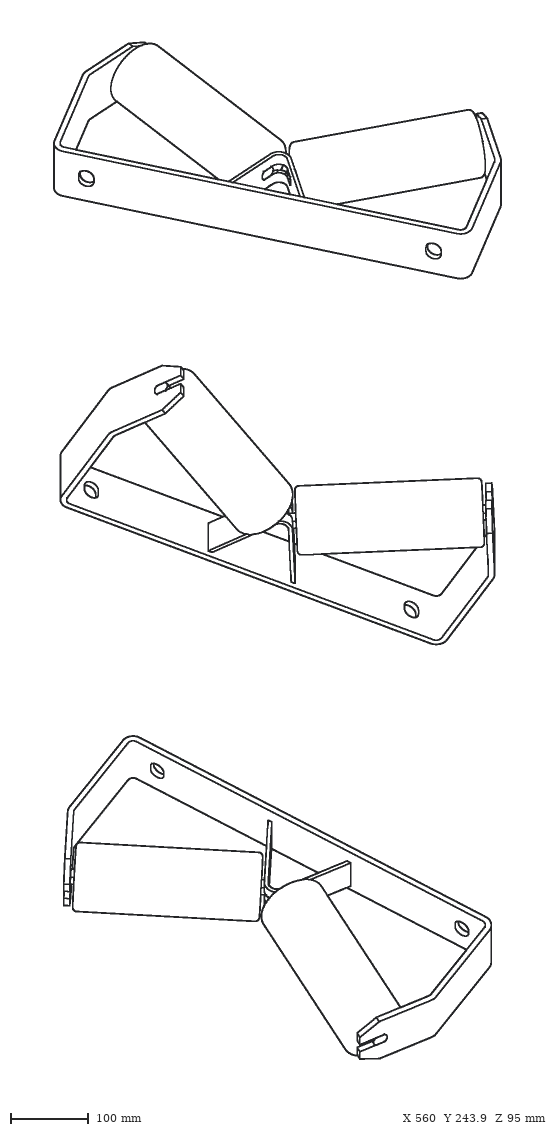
import cadquery as cq
import math


FRAME_WIDTH = 560.0
FRAME_HEIGHT = 80.0
FRAME_THICKNESS = 8.0
FRAME_BEND_RADIUS = 2 * FRAME_THICKNESS
ARM_BEND_Y = 146.0
ARM_LENGTH = 107.5
ARM_ANGLE = 30.0
ARM_CORNER_ALONG = 28.0
ARM_CORNER_UP = 17.0

MOUNT_SPACING = 465.5
MOUNT_SLOT_WIDTH = 20.0
MOUNT_SLOT_HEIGHT = 27.0

SUPPORT_THICKNESS = 5.0
SUPPORT_HEIGHT = 50.0
SUPPORT_BEND_RADIUS = 16.0
SUPPORT_FOOT_HALF_SPAN = 63.0

ROLLER_DIAMETER = 89.0
ROLLER_LENGTH = 240.0
ROLLER_EDGE_RADIUS = 5.5
ROLLER_TILT = 1.5
SHAFT_DIAMETER = 19.5
SHAFT_FLATS = 15.0
SHAFT_ALONG_ARM = 78.0

LEAN = math.radians(ARM_ANGLE)
TILT = math.radians(ROLLER_TILT)
SIN_LEAN = math.sin(LEAN)
COS_LEAN = math.cos(LEAN)
HALF_WIDTH = FRAME_WIDTH / 2
SUPPORT_APEX_Y = FRAME_THICKNESS + SUPPORT_FOOT_HALF_SPAN / math.tan(LEAN)

SHAFT_LENGTH = (HALF_WIDTH * COS_LEAN + (ARM_BEND_Y - SUPPORT_APEX_Y) * SIN_LEAN) + SUPPORT_THICKNESS
ROLLER_START = (SHAFT_LENGTH + FRAME_THICKNESS - SUPPORT_THICKNESS - ROLLER_LENGTH) / 2
SUPPORT_Z = -SHAFT_LENGTH * math.sin(TILT)


def bent_strip(path_points, thickness, outside_radius, height):
    """Flat strip bent along a mid-line in the XY plane, centred on z = 0."""
    corners = [cq.Vector(x, y, 0) for x, y in path_points]
    path = cq.Wire.makePolygon(corners).fillet(outside_radius - thickness / 2)
    start_plane = cq.Plane(origin=corners[0], xDir=(0, 0, 1), normal=corners[1] - corners[0])
    return cq.Workplane(start_plane).rect(height, thickness).sweep(path)


def shaft_plane(side):
    """Plane at the outer end of a shaft: normal along the shaft, local x down the arm from its tip."""
    arm = cq.Vector(-side * SIN_LEAN, COS_LEAN, 0)
    shaft = cq.Vector(
        -side * COS_LEAN * math.cos(TILT),
        -SIN_LEAN * math.cos(TILT),
        -math.sin(TILT),
    )
    bend_corner = cq.Vector(side * HALF_WIDTH, ARM_BEND_Y, 0)
    return cq.Plane(origin=bend_corner + arm * SHAFT_ALONG_ARM, xDir=arm * -1, normal=shaft)


def flatted_bar(side, start, length):
    """Round bar with two flats, on a shaft axis."""
    plane = cq.Workplane(shaft_plane(side)).workplane(offset=start)
    bar = plane.circle(SHAFT_DIAMETER / 2).extrude(length)
    return bar.intersect(plane.rect(SHAFT_DIAMETER, SHAFT_FLATS).extrude(length))


def shaft_slot(side, start, length, reach):
    """Cutter for a slot that holds a shaft and runs on for a reach towards the arm tip."""
    plane = cq.Workplane(shaft_plane(side)).workplane(offset=start)
    run_out = plane.center(-reach / 2, 0).rect(reach, SHAFT_FLATS).extrude(length)
    return flatted_bar(side, start, length).union(run_out)


def make_frame():
    half = FRAME_THICKNESS / 2
    wall_x = HALF_WIDTH - half
    bend_y = ARM_BEND_Y - half * math.tan(LEAN / 2)
    tip_x = HALF_WIDTH - ARM_LENGTH * SIN_LEAN - half * COS_LEAN
    tip_y = ARM_BEND_Y + ARM_LENGTH * COS_LEAN - half * SIN_LEAN
    path = [
        (-tip_x, tip_y),
        (-wall_x, bend_y),
        (-wall_x, half),
        (wall_x, half),
        (wall_x, bend_y),
        (tip_x, tip_y),
    ]
    frame = bent_strip(path, FRAME_THICKNESS, FRAME_BEND_RADIUS, FRAME_HEIGHT)

    mount_slots = (
        cq.Workplane("XZ")
        .rarray(MOUNT_SPACING, 5.5, 2, 1)
        .slot2D(MOUNT_SLOT_HEIGHT, MOUNT_SLOT_WIDTH, 90)
        .extrude(-FRAME_THICKNESS)
    )
    frame = frame.cut(mount_slots)

    for side in (-1, 1):
        frame = frame.cut(arm_corner_cuts(side))
        slot = shaft_slot(side, -FRAME_THICKNESS, 3 * FRAME_THICKNESS, ARM_LENGTH)
        frame = frame.cut(slot)
    return frame.solids()


def arm_corner_cuts(side):
    """Triangular cutters for the two corners of an arm tip."""
    arm = cq.Vector(-side * SIN_LEAN, COS_LEAN, 0)
    inward = cq.Vector(-side * COS_LEAN, -SIN_LEAN, 0)
    tip = cq.Vector(side * HALF_WIDTH, ARM_BEND_Y, 0) + arm * ARM_LENGTH
    plane = cq.Workplane(cq.Plane(origin=tip, xDir=arm, normal=inward))
    top = FRAME_HEIGHT / 2
    cuts = cq.Workplane()
    for edge in (-1, 1):
        triangle = [
            (0, edge * top),
            (0, edge * (top - ARM_CORNER_UP)),
            (-ARM_CORNER_ALONG, edge * top),
        ]
        cuts = cuts.add(plane.polyline(triangle).close().extrude(FRAME_THICKNESS))
    return cuts.combine()


def make_support():
    apex_y = SUPPORT_APEX_Y - SUPPORT_THICKNESS / 2 / SIN_LEAN
    foot_x = apex_y * math.tan(LEAN)
    path = [(-foot_x, 0), (0, apex_y), (foot_x, 0)]
    strip = bent_strip(path, SUPPORT_THICKNESS, SUPPORT_BEND_RADIUS, SUPPORT_HEIGHT)
    strip = strip.translate((0, 0, SUPPORT_Z))
    below_base = cq.Workplane().box(FRAME_WIDTH, 4 * FRAME_THICKNESS, FRAME_HEIGHT)
    support = strip.cut(below_base.translate((0, -FRAME_THICKNESS, 0)))

    for side in (-1, 1):
        start = SHAFT_LENGTH - 2 * SUPPORT_THICKNESS
        slot = shaft_slot(side, start, 4 * SUPPORT_THICKNESS, SUPPORT_APEX_Y)
        support = support.cut(slot)
    return support.solids()


def make_roller(side):
    barrel = (
        cq.Workplane(shaft_plane(side))
        .workplane(offset=ROLLER_START)
        .circle(ROLLER_DIAMETER / 2)
        .extrude(ROLLER_LENGTH)
        .edges("%CIRCLE")
        .fillet(ROLLER_EDGE_RADIUS)
    )
    return barrel.union(flatted_bar(side, 0, SHAFT_LENGTH)).solids()


frame = make_frame()
support = make_support()
rollers = [make_roller(side).val() for side in (-1, 1)]
result = cq.Compound.makeCompound([frame.val(), support.val(), *rollers])